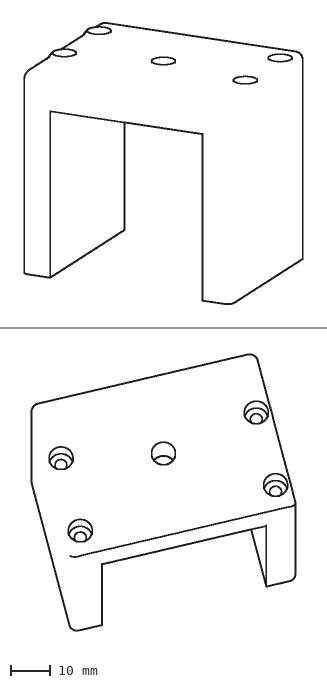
import cadquery as cq

width = 58.5
depth = 43.0
height = 54.0

leg_thickness = 8.0
roof_thickness = 10.0

corner_radius = 2.0
top_radius = 3.0

screw_diameter = 3.0
counterbore_diameter = 6.0
counterbore_depth = 5.0
screw_side_inset = 4.0
screw_back_inset = 6.5
screw_pitch = 20.0

center_hole_diameter = 6.0

screw_x = width / 2 - screw_side_inset
back_screw_y = depth / 2 - screw_back_inset
front_screw_y = back_screw_y - screw_pitch
screw_points = [(x, y) for x in (-screw_x, screw_x) for y in (front_screw_y, back_screw_y)]


def make_block():
    """Block standing on Z = 0 with its two front upright edges rounded."""
    block = cq.Workplane("XY").box(width, depth, height, centered=(True, True, False))
    return block.edges("|Z and <Y").fillet(corner_radius)


def make_channel():
    """Square channel open at the front, back and bottom."""
    channel_width = width - 2 * leg_thickness
    channel_height = height - roof_thickness
    return cq.Workplane("XY").box(channel_width, depth, channel_height, centered=(True, True, False))


def drill_top(body):
    """Counterbored screw holes in the legs and a plain hole in the roof."""
    top = cq.Workplane("XY", origin=(0, 0, height))
    screw_holes = top.pushPoints(screw_points).circle(screw_diameter / 2).extrude(-height)
    counterbores = top.pushPoints(screw_points).circle(counterbore_diameter / 2).extrude(-counterbore_depth)
    center_hole = top.circle(center_hole_diameter / 2).extrude(-roof_thickness)
    return body.cut(screw_holes).cut(counterbores).cut(center_hole)


def round_top(body):
    """Round the front top edge and the side top edges joined to it, leaving the back top edge sharp."""
    front_top_edge = body.faces(">Z").edges("|X and <Y")
    return front_top_edge.fillet(top_radius)


def round_back_corners(body):
    """Trim the two back upright corners to a round that runs straight up through the top."""
    envelope = cq.Workplane("XY").box(width, depth, height, centered=(True, True, False))
    return body.intersect(envelope.edges("|Z and >Y").fillet(corner_radius))


body = make_block().cut(make_channel())
body = drill_top(body)
body = round_top(body)
result = round_back_corners(body)